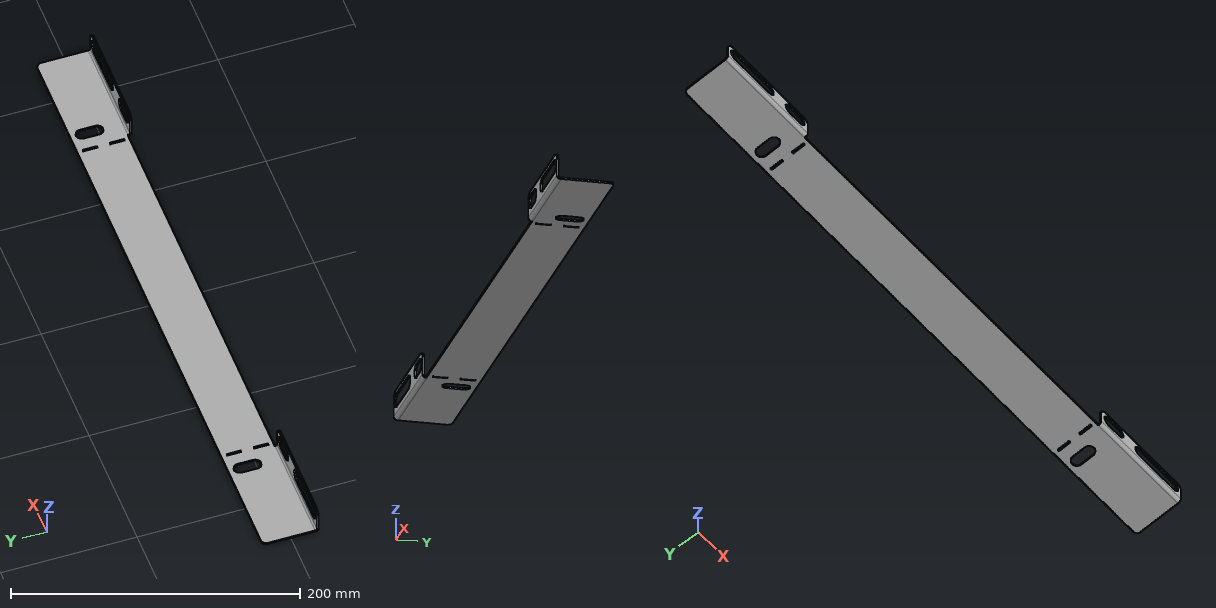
import cadquery as cq

length = 473.0
depth = 41.0
height = 20.0
thickness = 1.5
inner_bend_radius = 1.5
outer_bend_radius = inner_bend_radius + thickness
plate_corner_radius = 4.0

flange_length = 83.2
flange_corner_radius = 5.0
flange_slot_width = 10.0
flange_slot_height = 12.0
long_slot_start = 3.0
long_slot_length = 45.0
short_slot_start = 60.0
short_slot_length = 20.0

plate_slot_inset = 72.0
plate_slot_width = 8.5
plate_slot_length = 20.0
slit_inset = 86.5
slit_width = 1.5
slit_length = 10.5
opening_margin = 4.3
slit_pitch = 20.0

half_length = length / 2
back = depth / 2
front = -depth / 2
bend_line = front + outer_bend_radius


def make_plate():
    plate_depth = back - bend_line
    plate = cq.Workplane("XY").box(length, plate_depth, thickness, centered=(True, False, False))
    plate = plate.translate((0, bend_line, 0))
    return plate.edges("|Z and >Y").fillet(plate_corner_radius)


def make_bend(start):
    """Quarter-round bend joining the plate to a flange."""
    return (
        cq.Workplane("YZ", origin=(start, 0, 0))
        .moveTo(bend_line, 0)
        .radiusArc((front, outer_bend_radius), outer_bend_radius)
        .lineTo(front + thickness, outer_bend_radius)
        .radiusArc((bend_line, thickness), -inner_bend_radius)
        .close()
        .extrude(flange_length)
    )


def make_flange(start):
    wall_height = height - outer_bend_radius
    wall = cq.Workplane("XY").box(flange_length, thickness, wall_height, centered=False)
    wall = wall.translate((start, front, outer_bend_radius))
    return wall.edges("|Y and >Z").fillet(flange_corner_radius)


def flange_slot(side, slot_start, slot_length):
    """Cutter for a lengthwise slot, starting at a distance from the part's end."""
    centre_x = side * (half_length - slot_start - slot_length / 2)
    return (
        cq.Workplane("XZ", origin=(centre_x, front + thickness, flange_slot_height))
        .slot2D(slot_length, flange_slot_width)
        .extrude(thickness)
    )


def plate_slot(side):
    centre_x = side * (half_length - plate_slot_inset)
    centre_y = back - opening_margin - plate_slot_length / 2
    return (
        cq.Workplane("XY", origin=(centre_x, centre_y, 0))
        .slot2D(plate_slot_length, plate_slot_width, 90)
        .extrude(thickness)
    )


def plate_slits(side):
    """Cutter for the pair of narrow slits across the plate."""
    centre_x = side * (half_length - slit_inset)
    first_y = back - opening_margin - slit_length / 2
    return (
        cq.Workplane("XY")
        .pushPoints([(centre_x, first_y), (centre_x, first_y - slit_pitch)])
        .rect(slit_width, slit_length)
        .extrude(thickness)
    )


result = make_plate()
for side in (-1, 1):
    flange_start = side * (half_length - flange_length / 2) - flange_length / 2
    result = result.union(make_bend(flange_start)).union(make_flange(flange_start))
    result = result.cut(flange_slot(side, long_slot_start, long_slot_length))
    result = result.cut(flange_slot(side, short_slot_start, short_slot_length))
    result = result.cut(plate_slot(side)).cut(plate_slits(side))